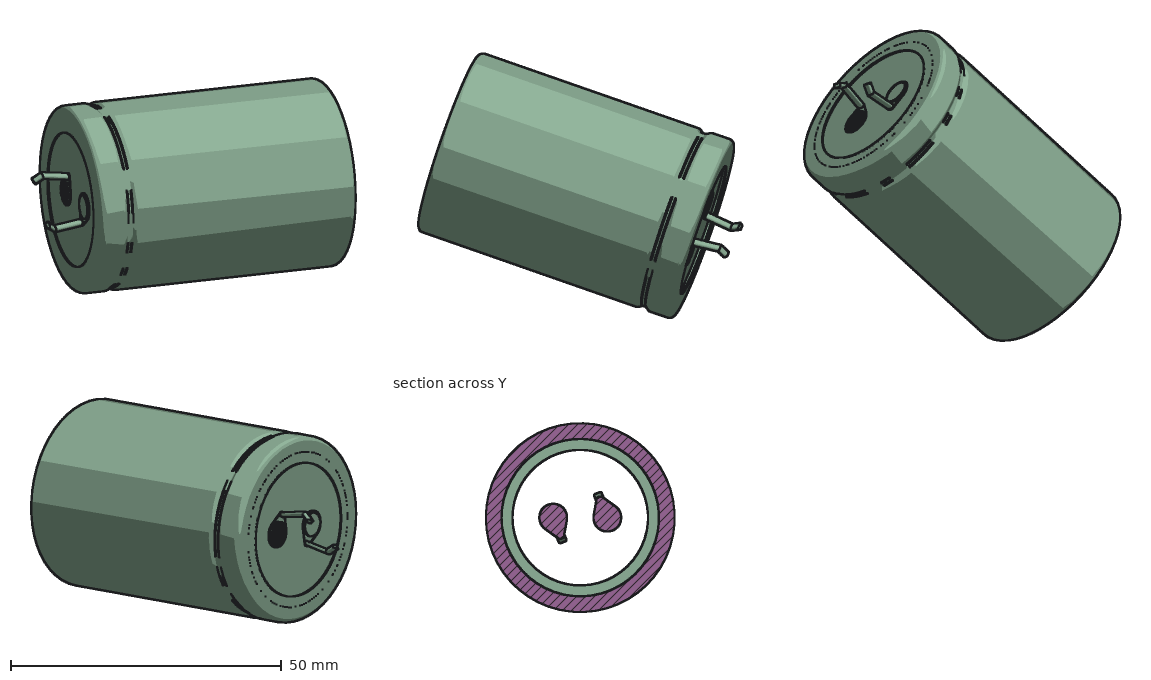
import cadquery as cq
import math


total_length = 56.15
can_diameter = 35.0
can_length = 50.0
can_edge_radius = 1.0
pin_reach = total_length - can_length

groove_center = 5.7
groove_depth = 0.55
groove_floor_width = 0.8
groove_top_width = 2.35
groove_lip_radius = 0.55
groove_floor_radius = 0.35
radius_tolerance = 0.005

opening_diameter = 25.0
cavity_diameter = 29.0
lip_thickness = 0.2
floor_depth = 1.0

terminal_offset = 5.0
terminal_angle = 68.0
plate_diameter = 5.15
plate_end_diameter = 1.55
plate_end_distance = 3.35
plate_thickness = 0.1
rivet_diameter = 4.5
rivet_thickness = 0.2
rivet_base = floor_depth - plate_thickness

hatch_count = 4
hatch_width = 0.55
hatch_pitch = 2 * hatch_width
hatch_angle = 27.0

pin_width = 1.5
pin_thickness = 0.8
pin_edge_radius = 0.35
pin_root_distance = 3.6
pin_bend_distance = 4.5
pin_bend_depth = 4.3
pin_hook_angle = 38.0


def make_can():
    """Round can with rounded rims, a crimp groove and a lipped cavity in the terminal face."""
    can = cq.Workplane("XZ").circle(can_diameter / 2).extrude(-can_length)
    can = can.edges().fillet(can_edge_radius)

    outer = can_diameter / 2
    floor = outer - groove_depth
    half_floor = groove_floor_width / 2
    half_top = groove_top_width / 2
    clear = outer + groove_depth
    groove = (
        cq.Workplane("XY")
        .moveTo(clear, groove_center - half_top)
        .lineTo(outer, groove_center - half_top)
        .lineTo(floor, groove_center - half_floor)
        .lineTo(floor, groove_center + half_floor)
        .lineTo(outer, groove_center + half_top)
        .lineTo(clear, groove_center + half_top)
        .close()
        .revolve(360, (0, 0, 0), (0, 1, 0))
    )
    can = can.cut(groove)
    can = round_groove(can, outer, groove_lip_radius)
    can = round_groove(can, floor, groove_floor_radius)

    opening = cq.Workplane("XZ").circle(opening_diameter / 2).extrude(-floor_depth)
    cavity = (
        cq.Workplane("XZ", origin=(0, floor_depth, 0))
        .circle(cavity_diameter / 2)
        .extrude(floor_depth - lip_thickness)
    )
    return can.cut(opening).cut(cavity)


def round_groove(can, edge_radius, fillet_radius):
    """Fillet the two groove edges that lie at the given distance from the can axis."""
    zone = cq.selectors.BoxSelector(
        (-can_diameter, groove_center - groove_top_width, -can_diameter),
        (can_diameter, groove_center + groove_top_width, can_diameter),
    )
    circles = can.edges(zone).edges("%CIRCLE")
    rims = circles.filter(lambda edge: abs(edge.radius() - edge_radius) < radius_tolerance)
    return rims.fillet(fillet_radius)


def make_plate():
    """Teardrop plate: a large and a small circle joined by their common tangents."""
    big = plate_diameter / 2
    small = plate_end_diameter / 2
    cosine = (big - small) / plate_end_distance
    sine = math.sqrt(1 - cosine**2)
    return (
        cq.Workplane("XZ", origin=(0, floor_depth, 0))
        .moveTo(big * cosine, big * sine)
        .threePointArc((-big, 0), (big * cosine, -big * sine))
        .lineTo(plate_end_distance + small * cosine, -small * sine)
        .threePointArc(
            (plate_end_distance + small, 0),
            (plate_end_distance + small * cosine, small * sine),
        )
        .close()
        .extrude(plate_thickness)
    )


def make_pin():
    """Flat pin that leans outward and ends in a hook bent back toward the rivet."""
    hook = math.radians(pin_hook_angle)
    tip_depth = pin_reach - pin_thickness / 2 * math.sin(hook)
    tip_distance = pin_bend_distance - (tip_depth - pin_bend_depth) * math.tan(hook)
    root = (pin_root_distance, floor_depth)
    bend = (pin_bend_distance, -pin_bend_depth)
    path = cq.Workplane("XY").polyline([root, bend, (tip_distance, -tip_depth)])
    lean = (bend[0] - root[0], bend[1] - root[1], 0)
    section = cq.Plane(origin=(*root, 0), xDir=(0, 0, 1), normal=lean)
    pin = cq.Workplane(section).rect(pin_width, pin_thickness).sweep(path, transition="right")
    return pin.faces("<Z or >Z").edges().fillet(pin_edge_radius)


def make_terminal():
    """Plate, rivet head and pin, with the rivet on the Y axis and the pin toward +X."""
    rivet = (
        cq.Workplane("XZ", origin=(0, rivet_base, 0))
        .circle(rivet_diameter / 2)
        .extrude(rivet_thickness)
    )
    return make_plate().union(rivet).union(make_pin())


def make_hatching():
    """Parallel grooves across the rivet head, as deep as the head is thick."""
    bars = (
        cq.Workplane("XZ", origin=(0, rivet_base, 0))
        .rarray(0.55, hatch_pitch, 1, hatch_count)
        .rect(rivet_diameter, hatch_width)
        .extrude(rivet_thickness)
    )
    return bars.rotate((0, 0, 0), (0, 1, 0), -hatch_angle)


terminal = make_terminal()
negative = terminal.rotate((0, 0, 0), (0, 1, 0), -terminal_angle).cut(make_hatching())
positive = terminal.rotate((0, 0, 0), (0, 1, 0), 180 - terminal_angle)

result = (
    make_can()
    .union(negative.translate((-terminal_offset, 0, 0)))
    .union(positive.translate((terminal_offset, 0, 0)))
)